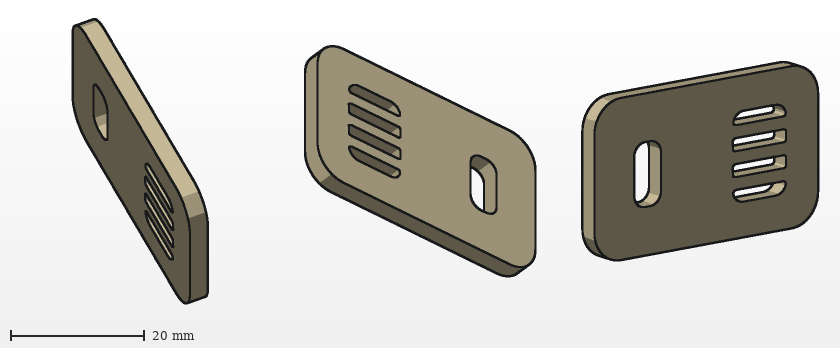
import cadquery as cq

length = 42.0
height = 25.0
thickness = 3.0
plate_corner_radius = height / 5

slot_width = 5.0
slot_height = 2 * slot_width
slot_corner_radius = 2.0
slot_center_x = -11.0

vent_width = 10.0
vent_height = 14.0
vent_center_x = 10.0
opening_count = 4
bar_count = opening_count - 1
opening_height = vent_height / (opening_count + bar_count)
opening_pitch = 2 * opening_height
window_corner_radius = opening_height
opening_corner_radius = opening_height / 4


def rounded_block(width, block_height, radius, center_x=0):
    """Block through the plate thickness with rounded corners in the XZ plane."""
    block = cq.Workplane("XY").box(width, thickness, block_height)
    return block.edges("|Y").fillet(radius).translate((center_x, 0, 0))


def vent_openings():
    """Rounded window with the bars removed and the remaining sharp corners softened."""
    openings = rounded_block(vent_width, vent_height, window_corner_radius)
    for index in range(bar_count):
        bar_z = (index - (bar_count - 1) / 2) * opening_pitch
        bar = cq.Workplane("XY").box(vent_width, thickness, opening_height)
        openings = openings.cut(bar.translate((0, 0, bar_z)))

    sharp_corner_limit = vent_height / 2 - opening_height / 2
    sharp_edges = [
        edge
        for edge in openings.edges("|Y").vals()
        if abs(edge.Center().z) < sharp_corner_limit
    ]
    openings = openings.newObject(sharp_edges).fillet(opening_corner_radius)
    return openings.translate((vent_center_x, 0, 0))


plate = rounded_block(length, height, plate_corner_radius)
slot = rounded_block(slot_width, slot_height, slot_corner_radius, slot_center_x)
result = plate.cut(slot).cut(vent_openings())